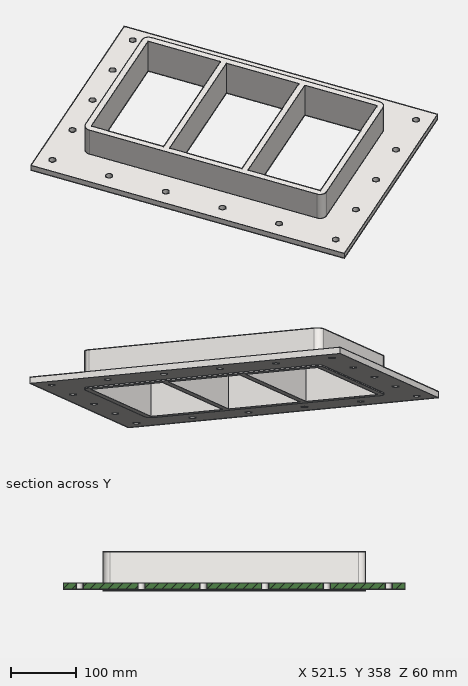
import cadquery as cq

flange_length = 521.5
flange_width = 358.0
flange_thickness = 10.0

frame_length = 401.0
frame_width = 238.0
frame_height = 60.0
frame_drop = 2.0
wall = 10.0
corner_radius = 11.0

window_count = 3
window_width = frame_width - 2 * wall
window_length = (frame_length - (window_count + 1) * wall) / window_count
window_pitch = window_length + wall

hole_diameter = 10.5
hole_inset = 25.0
hole_columns = 6
hole_rows = 5
hole_span_x = flange_length - 2 * hole_inset
hole_span_y = flange_width - 2 * hole_inset


def make_flange():
    """Flat plate with its underside at Z = 0."""
    return cq.Workplane("XY").box(
        flange_length, flange_width, flange_thickness, centered=(True, True, False)
    )


def make_frame():
    """Solid block with rounded vertical corners, before the windows are cut."""
    block = cq.Workplane("XY").box(
        frame_length, frame_width, frame_height, centered=(True, True, False)
    )
    return block.edges("|Z").fillet(corner_radius).translate((0, 0, -frame_drop))


def make_windows():
    """Sharp-cornered openings through the full frame height."""
    return (
        cq.Workplane("XY", origin=(0, 0, -frame_drop))
        .rarray(window_pitch, 5, window_count, 1)
        .rect(window_length, window_width)
        .extrude(frame_height)
    )


def bolt_positions():
    """Hole centres on the border of an evenly spaced grid."""
    positions = []
    for column in range(hole_columns):
        for row in range(hole_rows):
            if column in (0, hole_columns - 1) or row in (0, hole_rows - 1):
                x = hole_span_x * (column / (hole_columns - 1) - 0.5)
                y = hole_span_y * (row / (hole_rows - 1) - 0.5)
                positions.append((x, y))
    return positions


def make_bolt_holes():
    """Cylinders that cut the bolt holes through the flange."""
    return (
        cq.Workplane("XY")
        .pushPoints(bolt_positions())
        .circle(hole_diameter / 2)
        .extrude(flange_thickness)
    )


result = make_flange().union(make_frame()).cut(make_windows()).cut(make_bolt_holes())